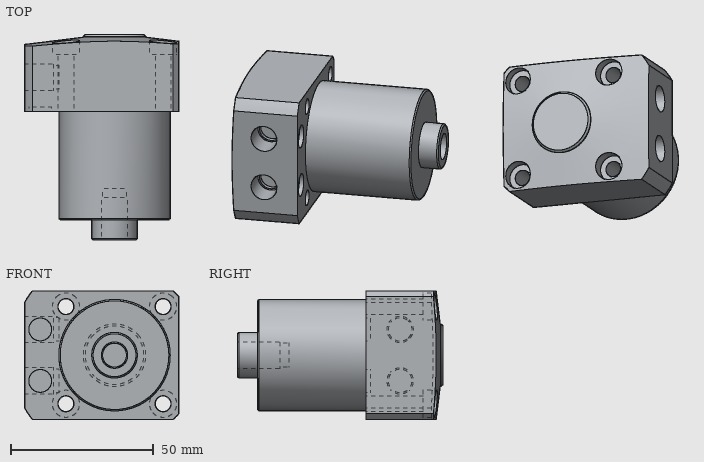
import cadquery as cq
import math


block_width = 54
block_right = 22.5
block_left = block_right - block_width
block_height = 45.0
right_chamfer = 2.0
corner_radius = 36.5

rear_depth = 27.1
boss_height = 1.0
boss_radius = 10.95
boss_chamfer = 0.7
cone_angle = math.radians(7)

barrel_radius = 19.5
barrel_length = 37.9
barrel_chamfer = 0.5
rod_radius = 8.0
overall_length = 72
rod_length = overall_length - rear_depth - barrel_length
rod_chamfer = 0.5
rod_hole_radius = 4.6
rod_hole_wide_depth = 15.0
rod_hole_end_radius = 4.2
rod_hole_depth = 18

mount_offset = 17.0
mount_hole_diameter = 5.5
counterbore_diameter = 9.5
counterbore_floor = 20.0

port_offset = 9.0
side_port_y = 12.0
side_port_radius = 4.6
side_port_wide_depth = 10.1
side_port_end_radius = 4.1
side_port_depth = 12.0
face_port_x = -26.0
face_port_diameter = 8.0
face_port_depth = 1.6


def stepped_plug(mouth_radius, mouth_depth, end_radius, total_depth):
    """Revolved cutter along +Y from the origin, wide at its mouth and narrower at its end."""
    profile = [
        (0, 0),
        (mouth_radius, 0),
        (mouth_radius, mouth_depth),
        (end_radius, mouth_depth),
        (end_radius, total_depth),
        (0, total_depth),
    ]
    return cq.Workplane("XY").polyline(profile).close().revolve(360, (0, 0, 0), (0, 1, 0))


def cylinder_along_y(x, z, diameter, start, end):
    """Cylinder parallel to Y between two Y positions."""
    plane = cq.Workplane("XZ", origin=(x, start, z))
    return plane.circle(diameter / 2).extrude(start - end)


def make_block():
    half_height = block_height / 2
    arc_top_x = -math.sqrt(corner_radius**2 - half_height**2)
    arc_side_z = math.sqrt(corner_radius**2 - block_left**2)
    mid_angle = (math.atan2(half_height, -arc_top_x) + math.atan2(arc_side_z, -block_left)) / 2
    mid_x = -corner_radius * math.cos(mid_angle)
    mid_z = corner_radius * math.sin(mid_angle)
    outline = (
        cq.Workplane("XZ")
        .moveTo(arc_top_x, half_height)
        .lineTo(block_right - right_chamfer, half_height)
        .lineTo(block_right, half_height - right_chamfer)
        .lineTo(block_right, right_chamfer - half_height)
        .lineTo(block_right - right_chamfer, -half_height)
        .lineTo(arc_top_x, -half_height)
        .threePointArc((mid_x, -mid_z), (block_left, -arc_side_z))
        .lineTo(block_left, arc_side_z)
        .threePointArc((mid_x, mid_z), (arc_top_x, half_height))
        .close()
    )
    block = outline.extrude(-rear_depth)

    envelope_radius = 1.1 * corner_radius
    boss_base_y = rear_depth - boss_height
    rim_y = boss_base_y - (envelope_radius - boss_radius) * math.tan(cone_angle)
    envelope = (
        cq.Workplane("XY")
        .polyline([
            (0, 0),
            (envelope_radius, 0),
            (envelope_radius, rim_y),
            (boss_radius, boss_base_y),
            (boss_radius, rear_depth - boss_chamfer),
            (boss_radius - boss_chamfer, rear_depth),
            (0, rear_depth),
        ])
        .close()
        .revolve(360, (0, 0, 0), (0, 1, 0))
    )
    return block.intersect(envelope)


def make_barrel_and_rod():
    barrel = (
        cq.Workplane("XZ")
        .circle(barrel_radius)
        .extrude(barrel_length)
        .faces("<Y")
        .chamfer(barrel_chamfer)
    )
    rod = (
        cq.Workplane("XZ", origin=(0, -barrel_length, 0))
        .circle(rod_radius)
        .extrude(rod_length)
        .faces("<Y")
        .chamfer(rod_chamfer)
    )
    hole = stepped_plug(rod_hole_radius, rod_hole_wide_depth, rod_hole_end_radius, rod_hole_depth)
    return barrel.union(rod).cut(hole.translate((0, -barrel_length - rod_length, 0)))


def cut_mounting_holes(body):
    for x in (-mount_offset, mount_offset):
        for z in (-mount_offset, mount_offset):
            body = body.cut(cylinder_along_y(x, z, mount_hole_diameter, 0, rear_depth))
            body = body.cut(cylinder_along_y(x, z, counterbore_diameter, counterbore_floor, rear_depth))
    return body


def cut_ports(body):
    side_port = stepped_plug(side_port_radius, side_port_wide_depth, side_port_end_radius, side_port_depth)
    side_port = side_port.rotate((0, 0, 0), (0, 0, 1), -90)
    for z in (-port_offset, port_offset):
        body = body.cut(side_port.translate((block_left, side_port_y, z)))
        body = body.cut(cylinder_along_y(face_port_x, z, face_port_diameter, 0, face_port_depth))
    return body


result = make_block().union(make_barrel_and_rod())
result = cut_mounting_holes(result)
result = cut_ports(result)